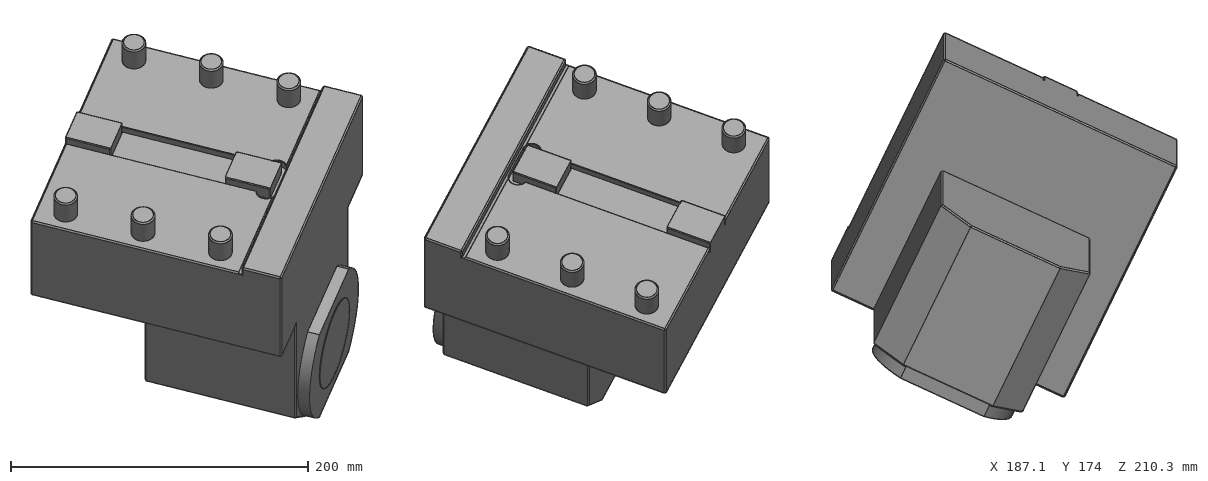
import cadquery as cq

BLOCK_LENGTH = 178.0
BLOCK_WIDTH = 174.0
BLOCK_BOTTOM = 117.1
PLATE_TOP = 192.2
RIB_TOP = 197.9
RIB_START = 149.7
EDGE_CHAMFER = 1.0

RELIEF_WIDTH = 2.3
RELIEF_START_DEPTH = 0.5
RELIEF_END_DEPTH = 1.0

SLOT_WIDTH = 26.0
SLOT_DEPTH = 5.3
SLOT_CHAMFER = 0.5
MOUTH_ANGLE = 45
CORNER_RELIEF_RADIUS = 6.5
CORNER_RELIEF_OFFSET = 11.1
SLOT_END_GAP = 1.3

KEY_LENGTH = 32.0
KEY_WIDTH = 25.0
KEY_TOP = 197.3
KEY_STARTS = (0, 113.1)
KEY_CHAMFER = 0.6

PIN_DIAMETER = 16.0
PIN_TOP = 210.3
PIN_CHAMFER = 1.0
PIN_FIRST_X = 20.2
PIN_SPACING_X = 54.9
PIN_SPACING_Y = 145
PINS_PER_ROW = 3

STEM_START = 70.5
STEM_WIDTH = 110.8
STEM_CORNER = 22.0

FLANGE_DIAMETER = 104.0
FLANGE_HEIGHT = 83.5
FLANGE_CENTER_Z = 42
FLANGE_THICKNESS = 8.5
BOSS_DIAMETER = 63
BOSS_THICKNESS = 0.6

SLOT_END = RIB_START - SLOT_END_GAP
SLOT_FLOOR = PLATE_TOP - SLOT_DEPTH


def box(x_start, x_end, width, z_start, z_end):
    """Box centred on the XZ plane, given by its X and Z limits."""
    return (
        cq.Workplane("XY", origin=((x_start + x_end) / 2, 0, z_start))
        .box(x_end - x_start, width, z_end - z_start, centered=(True, True, False))
    )


def make_block():
    """L-shaped block with every outer edge chamfered, then the relief groove."""
    rib_foot = cq.selectors.NearestToPointSelector((RIB_START, 0, PLATE_TOP))
    block = (
        cq.Workplane("XZ", origin=(0, BLOCK_WIDTH / 2, 0))
        .moveTo(0, BLOCK_BOTTOM)
        .lineTo(BLOCK_LENGTH, BLOCK_BOTTOM)
        .lineTo(BLOCK_LENGTH, RIB_TOP)
        .lineTo(RIB_START, RIB_TOP)
        .lineTo(RIB_START, PLATE_TOP)
        .lineTo(0, PLATE_TOP)
        .close()
        .extrude(BLOCK_WIDTH)
        .edges(cq.selectors.SubtractSelector(cq.Selector(), rib_foot))
        .chamfer(EDGE_CHAMFER)
    )
    groove = (
        cq.Workplane("XZ", origin=(0, BLOCK_WIDTH / 2, 0))
        .moveTo(RIB_START - RELIEF_WIDTH, PLATE_TOP)
        .lineTo(RIB_START - RELIEF_WIDTH, PLATE_TOP - RELIEF_START_DEPTH)
        .lineTo(RIB_START, PLATE_TOP - RELIEF_END_DEPTH)
        .lineTo(RIB_START, PLATE_TOP)
        .close()
        .extrude(BLOCK_WIDTH)
    )
    return block.cut(groove)


def make_slot():
    """Cutter for the key slot, open at -X, with round corner reliefs and a flared mouth."""
    channel = box(-SLOT_CHAMFER, SLOT_END, SLOT_WIDTH, SLOT_FLOOR, PLATE_TOP)
    reliefs = (
        cq.Workplane("XY", origin=(SLOT_END - CORNER_RELIEF_RADIUS, 0, SLOT_FLOOR))
        .pushPoints([(0, -CORNER_RELIEF_OFFSET), (0, CORNER_RELIEF_OFFSET)])
        .circle(CORNER_RELIEF_RADIUS)
        .extrude(SLOT_DEPTH)
    )
    slot = channel.union(reliefs)
    mouth = (
        slot.faces("<Z")
        .wires()
        .translate((0, 0, SLOT_DEPTH - SLOT_CHAMFER))
        .toPending()
        .extrude(SLOT_CHAMFER, taper=-MOUTH_ANGLE)
    )
    return slot.union(mouth)


def make_key(x_start):
    """Key block on the slot floor with chamfered upright edges and long top edges."""
    key = box(x_start, x_start + KEY_LENGTH, KEY_WIDTH, SLOT_FLOOR, KEY_TOP)
    return key.edges("|Z or (|X and >Z)").chamfer(KEY_CHAMFER)


def make_pins():
    """Two rows of pins with chamfered tips."""
    row_center_x = PIN_FIRST_X + PIN_SPACING_X * (PINS_PER_ROW - 1) / 2
    return (
        cq.Workplane("XY", origin=(row_center_x, 0, PLATE_TOP))
        .rarray(PIN_SPACING_X, PIN_SPACING_Y, PINS_PER_ROW, 2)
        .circle(PIN_DIAMETER / 2)
        .extrude(PIN_TOP - PLATE_TOP)
        .faces(">Z")
        .chamfer(PIN_CHAMFER)
    )


def make_stem():
    """Stem with large bevels along its bottom and chamfered end outlines."""
    return (
        box(STEM_START, BLOCK_LENGTH, STEM_WIDTH, 0, BLOCK_BOTTOM + EDGE_CHAMFER)
        .edges("|X and <Z")
        .chamfer(STEM_CORNER)
        .faces("<X or >X")
        .edges("not >Z")
        .chamfer(EDGE_CHAMFER)
    )


def make_flange():
    """Round flange cut by two flats, carrying a thin round boss."""
    flange = (
        cq.Workplane("YZ", origin=(BLOCK_LENGTH - EDGE_CHAMFER, 0, FLANGE_CENTER_Z))
        .circle(FLANGE_DIAMETER / 2)
        .extrude(EDGE_CHAMFER + FLANGE_THICKNESS)
    )
    between_flats = box(
        0,
        BLOCK_LENGTH + FLANGE_THICKNESS,
        FLANGE_DIAMETER,
        FLANGE_CENTER_Z - FLANGE_HEIGHT / 2,
        FLANGE_CENTER_Z + FLANGE_HEIGHT / 2,
    )
    boss = (
        cq.Workplane("YZ", origin=(BLOCK_LENGTH + FLANGE_THICKNESS, 0, FLANGE_CENTER_Z))
        .circle(BOSS_DIAMETER / 2)
        .extrude(BOSS_THICKNESS)
    )
    return flange.intersect(between_flats).union(boss)


result = make_block().cut(make_slot())
for key_start in KEY_STARTS:
    result = result.union(make_key(key_start))
result = result.union(make_stem()).union(make_pins()).union(make_flange())